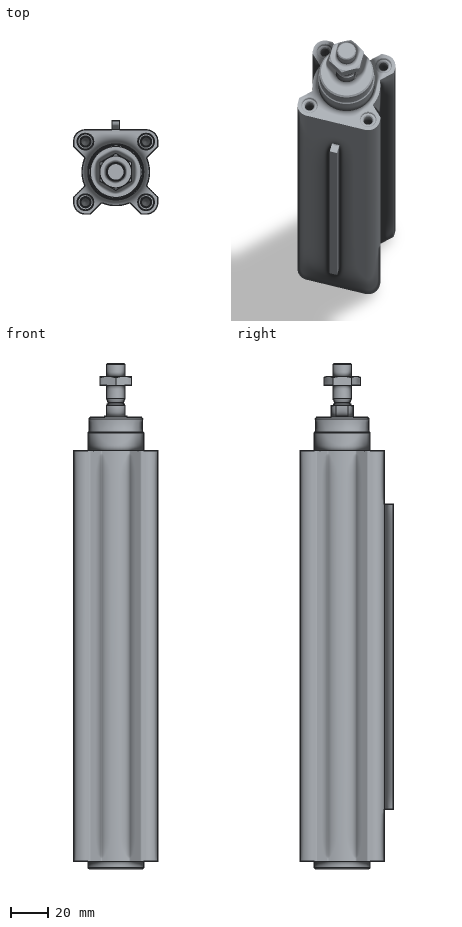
import cadquery as cq
import math

TOTAL_HEIGHT = 270.0
SPIGOT_HEIGHT = 4.0
PROFILE_TOP = 223.6
NECK_TOP = 233.6
COLLAR_TOP = 241.5

PROFILE_WIDTH = 45.0
BARREL_DIAMETER = 36.2
SCREW_SPACING = 32.5
CORNER_RADIUS = (PROFILE_WIDTH - SCREW_SPACING) / 2
NOTCH_DIRECTIONS = (0, 180, 270)
ARM_EDGE_FILLET = 1.0
ARM_ROOT_FILLET = 0.8
EDGE_TOLERANCE = 0.03

SPIGOT_DIAMETER = 30.0
SPIGOT_CHAMFER = 0.8
NECK_DIAMETER = 30.0
COLLAR_DIAMETER = 29.0
COLLAR_WAIST_DIAMETER = 28.4
COLLAR_CHAMFER = 0.8

RECESS_MOUTH_DIAMETER = 9.0
RECESS_DIAMETER = 8.0
RECESS_DEPTH = 1.0
HOLE_MOUTH_DIAMETER = 6.0
HOLE_DIAMETER = 4.9
HOLE_DEPTH = 10.8
DRILL_TIP_ANGLE = 118.0

RAIL_WIDTH = 4.0
RAIL_DEPTH = 4.9
RAIL_BOTTOM = 32.0
RAIL_LENGTH = 163.1

ROD_DIAMETER = 12.0
ROD_BASE = PROFILE_TOP
ROD_SHOULDER = 247.7
FLATS_WIDTH = 10.0
FLATS_BOTTOM = 242.0
SEAT_DIAMETER = 9.5
SEAT_TOP = 248.5
RELIEF_DIAMETER = 8.0
RELIEF_TOP = 249.3
THREAD_DIAMETER = 10.0
THREAD_BOTTOM = 251.5
THREAD_TIP_CHAMFER = 0.5

NUT_ACROSS_FLATS = 17.0
NUT_THICKNESS = 4.9
NUT_BOTTOM = 258.5
NUT_CHAMFER_ANGLE = 30.0
HEX_HALF_SECTOR = 30.0


def cylinder(diameter, bottom, top):
    return cq.Workplane("XY").workplane(offset=bottom).circle(diameter / 2).extrude(top - bottom)


def revolve_about_z(half_section):
    return cq.Workplane("XZ").polyline(half_section).close().revolve(360, (0, 0), (0, 1))


def arm_notch(direction):
    """V-shaped channel between two corner arms, opening toward the given angle about Z."""
    apex_x = CORNER_RADIUS * math.sqrt(2)
    mouth_x = PROFILE_WIDTH
    half_mouth = mouth_x - apex_x
    channel = (
        cq.Workplane("XY")
        .workplane(offset=SPIGOT_HEIGHT)
        .polyline([(apex_x, 0), (mouth_x, half_mouth), (mouth_x, -half_mouth)])
        .close()
        .extrude(PROFILE_TOP - SPIGOT_HEIGHT)
    )
    channel = channel.cut(cylinder(BARREL_DIAMETER, SPIGOT_HEIGHT, PROFILE_TOP))
    return channel.rotate((0, 0, 0), (0, 0, 1), direction)


def edges_at_radius(body, radius):
    """Vertical edges of a body that stand at the given distance from the Z axis."""
    matching = []
    for edge in body.edges("|Z").vals():
        place = edge.Center()
        if abs(math.hypot(place.x, place.y) - radius) < EDGE_TOLERANCE:
            matching.append(edge)
    return body.newObject(matching)


def make_profile():
    """Square extrusion with rounded corner arms; the +Y face stays flat between its arms."""
    body = (
        cq.Workplane("XY")
        .workplane(offset=SPIGOT_HEIGHT)
        .rect(PROFILE_WIDTH, PROFILE_WIDTH)
        .extrude(PROFILE_TOP - SPIGOT_HEIGHT)
        .edges("|Z")
        .fillet(CORNER_RADIUS)
    )
    for direction in NOTCH_DIRECTIONS:
        body = body.cut(arm_notch(direction))

    body = edges_at_radius(body, BARREL_DIAMETER / 2).fillet(ARM_ROOT_FILLET)

    half_width = PROFILE_WIDTH / 2
    arm_edge_offset = half_width - CORNER_RADIUS * math.sqrt(2)
    return edges_at_radius(body, math.hypot(half_width, arm_edge_offset)).fillet(ARM_EDGE_FILLET)


def make_spigot():
    return cylinder(SPIGOT_DIAMETER, 0, SPIGOT_HEIGHT).faces("<Z").chamfer(SPIGOT_CHAMFER)


def make_bearing_neck():
    """Bearing neck with a slimmer collar on top, whose side is drawn in to a shallow waist."""
    collar_radius = COLLAR_DIAMETER / 2
    collar_rim = COLLAR_TOP - COLLAR_CHAMFER
    waist_height = (NECK_TOP + collar_rim) / 2
    neck_chamfer = (NECK_DIAMETER - COLLAR_DIAMETER) / 2
    return (
        cq.Workplane("XZ")
        .moveTo(0, PROFILE_TOP)
        .lineTo(NECK_DIAMETER / 2, PROFILE_TOP)
        .lineTo(NECK_DIAMETER / 2, NECK_TOP - neck_chamfer)
        .lineTo(collar_radius, NECK_TOP)
        .threePointArc((COLLAR_WAIST_DIAMETER / 2, waist_height), (collar_radius, collar_rim))
        .lineTo(collar_radius - COLLAR_CHAMFER, COLLAR_TOP)
        .lineTo(0, COLLAR_TOP)
        .close()
        .revolve(360, (0, 0), (0, 1))
    )


def make_rail():
    return (
        cq.Workplane("XY")
        .box(RAIL_WIDTH, RAIL_DEPTH, RAIL_LENGTH, centered=(True, False, False))
        .translate((0, PROFILE_WIDTH / 2, RAIL_BOTTOM))
    )


def make_screw_recess(x, y):
    """Beveled recess in the top of a corner arm, with a beveled blind hole and drill-point bottom."""
    recess_floor = PROFILE_TOP - RECESS_DEPTH
    hole_floor = recess_floor - HOLE_DEPTH
    hole_radius = HOLE_DIAMETER / 2
    hole_bevel = (HOLE_MOUTH_DIAMETER - HOLE_DIAMETER) / 2
    recess_bevel = (RECESS_MOUTH_DIAMETER - RECESS_DIAMETER) / 2
    tip_height = hole_radius / math.tan(math.radians(DRILL_TIP_ANGLE / 2))
    half_section = [
        (0, PROFILE_TOP),
        (RECESS_MOUTH_DIAMETER / 2, PROFILE_TOP),
        (RECESS_DIAMETER / 2, PROFILE_TOP - recess_bevel),
        (RECESS_DIAMETER / 2, recess_floor),
        (HOLE_MOUTH_DIAMETER / 2, recess_floor),
        (hole_radius, recess_floor - hole_bevel),
        (hole_radius, hole_floor),
        (0, hole_floor - tip_height),
    ]
    return revolve_about_z(half_section).translate((x, y, 0))


def make_housing():
    housing = make_profile().union(make_spigot()).union(make_bearing_neck()).union(make_rail())
    half_spacing = SCREW_SPACING / 2
    for x in (-half_spacing, half_spacing):
        for y in (-half_spacing, half_spacing):
            housing = housing.cut(make_screw_recess(x, y))
    return housing.cut(cylinder(ROD_DIAMETER, ROD_BASE, COLLAR_TOP))


def make_piston_rod():
    tip_radius = THREAD_DIAMETER / 2 - THREAD_TIP_CHAMFER
    half_section = [
        (0, ROD_BASE),
        (ROD_DIAMETER / 2, ROD_BASE),
        (ROD_DIAMETER / 2, ROD_SHOULDER),
        (SEAT_DIAMETER / 2, ROD_SHOULDER),
        (SEAT_DIAMETER / 2, SEAT_TOP),
        (RELIEF_DIAMETER / 2, SEAT_TOP),
        (RELIEF_DIAMETER / 2, RELIEF_TOP),
        (THREAD_DIAMETER / 2, THREAD_BOTTOM),
        (THREAD_DIAMETER / 2, TOTAL_HEIGHT - THREAD_TIP_CHAMFER),
        (tip_radius, TOTAL_HEIGHT),
        (0, TOTAL_HEIGHT),
    ]
    rod = revolve_about_z(half_section)

    flats_height = ROD_SHOULDER - FLATS_BOTTOM
    for side in (-1, 1):
        cutter = (
            cq.Workplane("XY")
            .box(ROD_DIAMETER, ROD_DIAMETER, flats_height, centered=(True, True, False))
            .translate((side * (FLATS_WIDTH + ROD_DIAMETER) / 2, 0, FLATS_BOTTOM))
        )
        rod = rod.cut(cutter)
    return rod


def make_nut():
    """Hexagon nut with flats facing -X and +X and its corners chamfered on the upper end."""
    across_corners = NUT_ACROSS_FLATS / math.cos(math.radians(HEX_HALF_SECTOR))
    corner_drop = (across_corners - NUT_ACROSS_FLATS) / 2 * math.tan(math.radians(NUT_CHAMFER_ANGLE))
    top = NUT_BOTTOM + NUT_THICKNESS
    hexagon = (
        cq.Workplane("XY")
        .workplane(offset=NUT_BOTTOM)
        .polygon(6, across_corners)
        .extrude(NUT_THICKNESS)
        .rotate((0, 0, 0), (0, 0, 1), HEX_HALF_SECTOR)
    )
    chamfer_envelope = revolve_about_z([
        (0, NUT_BOTTOM),
        (across_corners / 2, NUT_BOTTOM),
        (across_corners / 2, top - corner_drop),
        (NUT_ACROSS_FLATS / 2, top),
        (0, top),
    ])
    return hexagon.intersect(chamfer_envelope).cut(cylinder(THREAD_DIAMETER, NUT_BOTTOM, top))


housing = make_housing()
piston_rod = make_piston_rod()
nut = make_nut()

result = cq.Compound.makeCompound([housing.val(), piston_rod.val(), nut.val()])